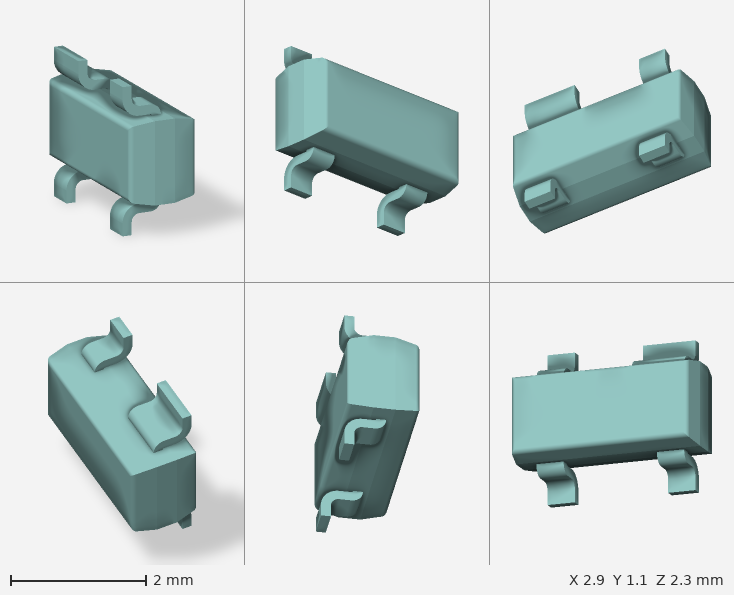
import cadquery as cq
import math


housing_length = 2.9
housing_height = 1.3
standoff = 0.01
package_depth = 1.1
band_width = 0.33
draft_angle = 10.0
face_edge_radius = 0.08

housing_depth = package_depth - standoff
draft_depth = (housing_depth - band_width) / 2
band_front = standoff + draft_depth
band_back = band_front + band_width

overall_height = 2.3
lead_thickness = 0.15
lead_width = 0.43
wide_lead_width = 0.83
lead_spacing = 1.9
lead_center_y = (band_front + band_back) / 2
root_inner_radius = 0.025
foot_inner_radius = 0.125

root_outer_radius = root_inner_radius + lead_thickness
foot_outer_radius = foot_inner_radius + lead_thickness
lead_left_x = -(lead_spacing + lead_width) / 2
lead_right_x = (lead_spacing - lead_width) / 2


def tapered_half(start_y, direction):
    """Drafted block from the belt edge at start_y outward; direction is +1 or -1 along Y."""
    return (
        cq.Workplane("XZ", origin=(0, start_y, 0))
        .rect(housing_length, housing_height)
        .extrude(-direction * draft_depth, taper=draft_angle)
    )


def make_housing():
    band = (
        cq.Workplane("XZ", origin=(0, band_front, 0))
        .rect(housing_length, housing_height)
        .extrude(-band_width)
    )
    block = band.union(tapered_half(band_front, -1)).union(tapered_half(band_back, 1))
    return block.faces("<Y or >Y").edges().fillet(face_edge_radius)


def make_lead(left_x, width, side):
    """Gull-wing lead on the top (side = +1) or bottom (side = -1) of the housing."""
    root_z = housing_height / 2
    tip_z = overall_height / 2
    root_back = lead_center_y + lead_thickness / 2
    root_front = root_back - lead_thickness
    root_bend_y = root_back - root_outer_radius
    inner_z = root_z + root_inner_radius
    outer_z = root_z + root_outer_radius
    foot_bend_y = foot_outer_radius
    foot_bend_z = inner_z + foot_outer_radius
    diagonal = math.sqrt(0.5)

    def root_middle(radius):
        return (root_bend_y + radius * diagonal, root_z + radius * diagonal)

    def foot_middle(radius):
        return (foot_bend_y - radius * diagonal, foot_bend_z - radius * diagonal)

    lead = (
        cq.Workplane("YZ", origin=(left_x, 0, 0))
        .moveTo(root_back, root_z)
        .threePointArc(root_middle(root_outer_radius), (root_bend_y, outer_z))
        .lineTo(foot_bend_y, outer_z)
        .threePointArc(foot_middle(foot_inner_radius), (lead_thickness, foot_bend_z))
        .lineTo(lead_thickness, tip_z)
        .lineTo(0, tip_z)
        .lineTo(0, foot_bend_z)
        .threePointArc(foot_middle(foot_outer_radius), (foot_bend_y, inner_z))
        .lineTo(root_bend_y, inner_z)
        .threePointArc(root_middle(root_inner_radius), (root_front, root_z))
        .close()
        .extrude(width)
    )
    return lead if side > 0 else lead.mirror("XY")


housing = make_housing()

lead_places = [
    (lead_left_x, wide_lead_width, 1),
    (lead_right_x, lead_width, 1),
    (lead_left_x, lead_width, -1),
    (lead_right_x, lead_width, -1),
]
leads = [make_lead(left_x, width, side) for left_x, width, side in lead_places]

result = cq.Compound.makeCompound([housing.val(), *[lead.val() for lead in leads]])